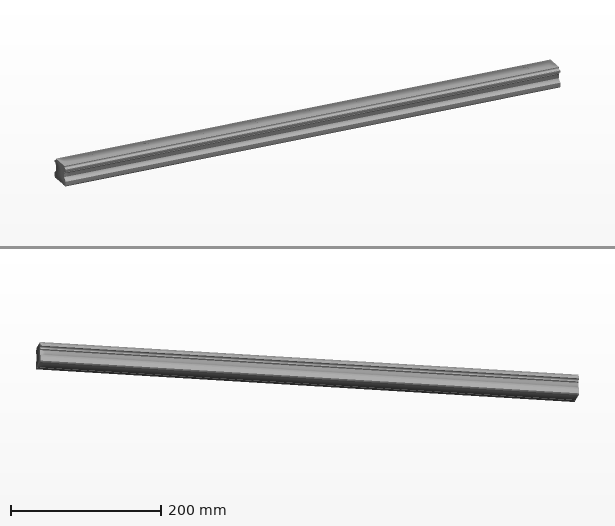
import cadquery as cq

LENGTH = 730.0
WIDTH = 34.0
HEIGHT = 29.0

BASE_CHAMFER = 1.6
BASE_SIDE_TOP = 7.6

WAIST_WIDTH = 24.5
WAIST_BOTTOM = 12.4
WAIST_TOP = 17.9

LAND_BOTTOM = 24.3
LAND_TOP = 25.45
LOWER_GROOVE_INNER = (13.85, 19.35)
LOWER_GROOVE_OUTER = (16.85, 22.6)
UPPER_GROOVE_OUTER = (16.45, 25.8)
TOP_FACE_WIDTH = 26.6
GROOVE_SAG = 1.35

RELIEF_WIDTH = 16.0
RELIEF_DEPTH = 0.5

HOLE_COUNT = 9
HOLE_PITCH = 80.0
HOLE_DIAMETER = 14.0
PLUG_RECESS = 0.1


def make_rail():
    """Extrude the rail section, drawn as its right half (x, z) and mirrored."""
    half_width = WIDTH / 2
    half_waist = WAIST_WIDTH / 2
    half_relief = RELIEF_WIDTH / 2
    section = (
        cq.Workplane("XZ")
        .moveTo(0, RELIEF_DEPTH)
        .lineTo(half_relief, RELIEF_DEPTH)
        .lineTo(half_relief, 0)
        .lineTo(half_width - BASE_CHAMFER, 0)
        .lineTo(half_width, BASE_CHAMFER)
        .lineTo(half_width, BASE_SIDE_TOP)
        .lineTo(half_waist, WAIST_BOTTOM)
        .lineTo(half_waist, WAIST_TOP)
        .lineTo(*LOWER_GROOVE_INNER)
        .sagittaArc(LOWER_GROOVE_OUTER, GROOVE_SAG)
        .lineTo(half_width, LAND_BOTTOM)
        .lineTo(half_width, LAND_TOP)
        .lineTo(*UPPER_GROOVE_OUTER)
        .sagittaArc((TOP_FACE_WIDTH / 2, HEIGHT), GROOVE_SAG)
        .lineTo(0, HEIGHT)
        .mirrorY()
    )
    return section.extrude(LENGTH / 2, both=True)


def cut_plug_recesses(rail):
    """Sink the row of plugged mounting holes slightly into the top face."""
    recesses = (
        cq.Workplane("XY", origin=(0, 0, HEIGHT))
        .rarray(1, HOLE_PITCH, 1, HOLE_COUNT)
        .circle(HOLE_DIAMETER / 2)
        .extrude(-PLUG_RECESS)
    )
    return rail.cut(recesses)


result = cut_plug_recesses(make_rail())